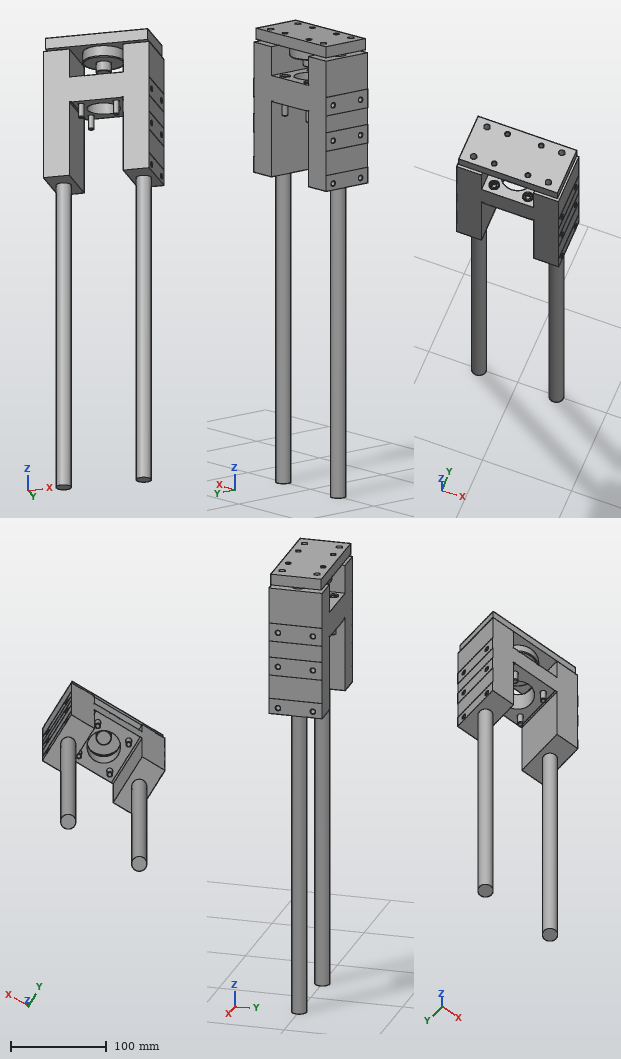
import cadquery as cq
import math

housing_length = 115.0
housing_depth = 58.0
housing_height = 140.0
overall_height = 490.0

leg_width = 28.25
upper_slot_depth = 31.0
crossbar_thickness = 28.0
slot_width = housing_length - 2 * leg_width
crossbar_top = housing_height - upper_slot_depth
crossbar_bottom = crossbar_top - crossbar_thickness
pad_width = 54.0
pad_height = 0.5
pilot_diameter = 35.0

thread_diameter = 6.0
tapped_diameter = 4.92
drill_tip_angle = 118.0
bolt_spacing = 38.0

lowest_row = 7.0
middle_row = 53.0
hole_rows = (lowest_row, middle_row, middle_row + bolt_spacing)
band_half_height = 10.0
band_step = 0.25
side_hole_depth = 12.0

screw_diameter = 6.0
screw_clearance = 6.6
screw_head_diameter = 10.0
screw_head_height = 6.0
screw_length = 36.0
screw_projection = 15.0
screw_head_chamfer = 1.0
screw_tip_chamfer = 0.9
socket_across_flats = 5.0
socket_depth = 3.0
counterbore_diameter = 11.0
screw_tip = crossbar_bottom - screw_projection
screw_seat = screw_tip + screw_length

plate_length = 111.0
plate_depth = 55.0
plate_thickness = 12.0
plate_gap = 3.0
plate_bottom = housing_height + plate_gap
plate_top = plate_bottom + plate_thickness
plate_tapped_depth = 9.0
plate_hole_diameter = 6.6
plate_hole_spacing = 84.0
rod_diameter = 16.0
rod_spacing = 87.0
rod_bottom = plate_top - overall_height
coupling_diameter = 44.0
coupling_height = 12.0
coupling_chamfer = 1.0
coupling_bottom = plate_bottom - coupling_height
stem_diameter = 16.0
stem_length = 10.5
stem_chamfer = 0.6
stem_bottom = coupling_bottom - stem_length


def corners(x_spacing, y_spacing):
    """Four places of a rectangular hole pattern centred on the Z axis."""
    return [(sx * x_spacing / 2, sy * y_spacing / 2) for sx in (-1, 1) for sy in (-1, 1)]


screw_places = corners(bolt_spacing, bolt_spacing)
plate_hole_places = corners(plate_hole_spacing, bolt_spacing)
rod_places = [(-rod_spacing / 2, 0), (rod_spacing / 2, 0)]


def cylinders(diameter, bottom, top, places):
    """Upright cylinders of one diameter between two heights."""
    plane = cq.Workplane("XY", origin=(0, 0, bottom))
    return plane.pushPoints(places).circle(diameter / 2).extrude(top - bottom)


def block(length, depth, bottom, top):
    """Upright box centred on the Z axis, between two heights."""
    return cq.Workplane("XY", origin=(0, 0, bottom)).rect(length, depth).extrude(top - bottom)


def tapped_hole(mouth, direction, depth):
    """Cutter for a tapped hole that runs from its mouth along the direction."""
    chamfer = (thread_diameter - tapped_diameter) / 2
    core = cq.Solid.makeCylinder(tapped_diameter / 2, depth, mouth, direction)
    entry = cq.Solid.makeCone(thread_diameter / 2, tapped_diameter / 2, chamfer, mouth, direction)
    tip_height = tapped_diameter / 2 / math.tan(math.radians(drill_tip_angle / 2))
    tip = cq.Solid.makeCone(tapped_diameter / 2, 0, tip_height, mouth + direction * depth, direction)
    return core.fuse(entry, tip)


def make_housing():
    """H-shaped housing with rod bores, screw seats, mounting bands and tapped end faces."""
    body = block(housing_length, housing_depth, 0, housing_height)
    body = body.cut(block(slot_width, housing_depth, crossbar_top, housing_height))
    body = body.cut(block(slot_width, housing_depth, 0, crossbar_bottom + pad_height))
    body = body.union(block(pad_width, housing_depth, crossbar_bottom, crossbar_top))

    body = body.cut(cylinders(pilot_diameter, crossbar_bottom, crossbar_top, [(0, 0)]))
    body = body.cut(cylinders(screw_clearance, crossbar_bottom, crossbar_top, screw_places))
    body = body.cut(cylinders(counterbore_diameter, screw_seat, crossbar_top, screw_places))
    body = body.cut(cylinders(rod_diameter, 0, housing_height, rod_places))

    recess_tops = [row - band_half_height for row in hole_rows[1:]] + [housing_height]
    for row, recess_top in zip(hole_rows, recess_tops):
        recess_bottom = row + band_half_height
        recess = block(housing_length, housing_depth, recess_bottom, recess_top)
        core = block(housing_length - 2 * band_step, housing_depth, recess_bottom, recess_top)
        body = body.cut(recess.cut(core))

    for side in (-1, 1):
        for y in (-bolt_spacing / 2, bolt_spacing / 2):
            for z in hole_rows:
                mouth = cq.Vector(side * housing_length / 2, y, z)
                body = body.cut(cq.Workplane(tapped_hole(mouth, cq.Vector(-side, 0, 0), side_hole_depth)))
    return body


def make_yoke():
    """Moving plate with its two guide rods and the piston rod coupling."""
    body = block(plate_length, plate_depth, plate_bottom, plate_top)
    body = body.union(cylinders(rod_diameter, rod_bottom, plate_bottom, rod_places))

    flange = cylinders(coupling_diameter, coupling_bottom, plate_bottom, [(0, 0)])
    body = body.union(flange.faces("<Z").chamfer(coupling_chamfer))
    stem = cylinders(stem_diameter, stem_bottom, coupling_bottom, [(0, 0)])
    body = body.union(stem.faces("<Z").chamfer(stem_chamfer))

    body = body.cut(cylinders(plate_hole_diameter, plate_bottom, plate_top, plate_hole_places))
    for x, y in screw_places:
        mouth = cq.Vector(x, y, plate_top)
        body = body.cut(cq.Workplane(tapped_hole(mouth, cq.Vector(0, 0, -1), plate_tapped_depth)))
    return body


def make_screw(place):
    """Socket head screw, head up, that passes through the crossbar."""
    shank = cylinders(screw_diameter, screw_tip, screw_seat, [place])
    shank = shank.faces("<Z").chamfer(screw_tip_chamfer)
    head = cylinders(screw_head_diameter, screw_seat, screw_seat + screw_head_height, [place])
    head = head.faces(">Z").chamfer(screw_head_chamfer)
    socket_across_corners = socket_across_flats / math.cos(math.pi / 6)
    head_top = head.faces(">Z").workplane(centerOption="CenterOfMass")
    head = head_top.polygon(6, socket_across_corners).cutBlind(-socket_depth)
    return shank.union(head)


housing = make_housing()
yoke = make_yoke()
screws = [make_screw(place) for place in screw_places]

result = cq.Compound.makeCompound(
    [housing.val(), yoke.val()] + [screw.val() for screw in screws]
)